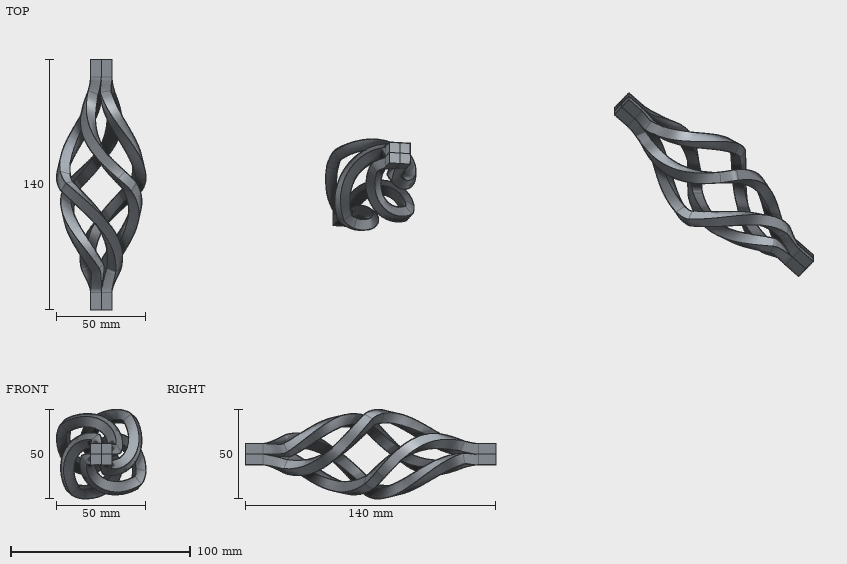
import cadquery as cq
import math

TOTAL_LENGTH = 140.0
STRAND_COUNT = 4
BAR_SIDE = 6.0
BLOCK_LENGTH = 10.0

APEX_RADIUS = 25.3
APEX_Y = -1.5
TAPER = 0.4
TWIST_RATE = 2.393
MIDDLE_ANGLE = 241.2

SECTION_ROLL = 50.0
SECTION_OFFSET = 2.7

FIRST_HELIX = (-47.3, -2.8)
SECOND_HELIX = (2.8, 50.4)
HELIX_SECTIONS = 16

BLEND_SECTIONS = 6
BLOCK_PULL = 1.0
HELIX_PULL = 0.5
BEND_PULL = 0.8

AXIS = cq.Vector(0, 1, 0)
SLOPE_STEP = 0.01
BLOCK_FACE = TOTAL_LENGTH / 2 - BLOCK_LENGTH


def evenly_spaced(start, end, count):
    return [start + (end - start) * i / (count - 1) for i in range(count)]


def outward(y):
    angle = math.radians(MIDDLE_ANGLE + TWIST_RATE * y)
    return cq.Vector(math.cos(angle), 0, math.sin(angle))


def helix_point(y, side):
    """Point of the helix; side is -1 on the widening cone and +1 on the narrowing one."""
    radius = APEX_RADIUS - side * TAPER * (y - APEX_Y)
    return outward(y) * radius + AXIS * y


def helix_section(y, side):
    """Corners of the square section, square to the helix at y."""
    tangent = (helix_point(y + SLOPE_STEP, side) - helix_point(y - SLOPE_STEP, side)).normalized()
    radial = outward(y)
    across = (radial - tangent * radial.dot(tangent)).normalized()
    sideways = tangent.cross(across)
    centre = helix_point(y, side) + sideways * SECTION_OFFSET
    corner_distance = BAR_SIDE / math.sqrt(2)
    corners = []
    for i in range(4):
        roll = math.radians(SECTION_ROLL + 90 * i)
        direction = across * math.cos(roll) + sideways * math.sin(roll)
        corners.append(centre + direction * corner_distance)
    return corners


def helix_slopes(y, side):
    """Movement of each corner per unit of y."""
    before = helix_section(y - SLOPE_STEP, side)
    after = helix_section(y + SLOPE_STEP, side)
    return [(b - a) / (2 * SLOPE_STEP) for a, b in zip(before, after)]


def block_section(y, x_side, z_side, following):
    """Corners of a bar end in one quadrant, each paired with the nearest corner of the next section."""
    outline = [(0, 0), (0, 1), (1, 1), (1, 0)]
    if x_side * z_side < 0:
        outline.reverse()
    corners = [cq.Vector(x_side * BAR_SIDE * i, y, z_side * BAR_SIDE * j) for i, j in outline]
    turns = [corners[k:] + corners[:k] for k in range(4)]
    return min(turns, key=lambda turn: sum((a - b).Length ** 2 for a, b in zip(turn, following)))


def blend(start, start_tangents, end, end_tangents):
    """Sections whose corners follow cubic curves with the given end tangents."""
    sections = []
    for s in evenly_spaced(0, 1, BLEND_SECTIONS):
        start_weight = 2 * s**3 - 3 * s**2 + 1
        start_pull = s**3 - 2 * s**2 + s
        end_pull = s**3 - s**2
        sections.append(
            [
                a * start_weight + ta * start_pull + b * (1 - start_weight) + tb * end_pull
                for a, ta, b, tb in zip(start, start_tangents, end, end_tangents)
            ]
        )
    return sections


def loft(sections):
    """Solid through the sections; a pair of sections is joined by flat faces."""
    wires = [cq.Wire.makePolygon(section, close=True) for section in sections]
    flat_sided = len(sections) == 2
    return cq.Solid.makeLoft(wires, flat_sided)


def scaled(vectors, factor):
    return [v * factor for v in vectors]


def make_strand():
    """One bar: block, blend, helix, bend, helix, blend, block."""
    first = [helix_section(y, -1) for y in evenly_spaced(*FIRST_HELIX, HELIX_SECTIONS)]
    second = [helix_section(y, 1) for y in evenly_spaced(*SECOND_HELIX, HELIX_SECTIONS)]
    first_end = block_section(-BLOCK_FACE, -1, 1, first[0])
    second_end = block_section(BLOCK_FACE, 1, -1, second[-1])

    first_gap = FIRST_HELIX[0] + BLOCK_FACE
    second_gap = BLOCK_FACE - SECOND_HELIX[1]
    bend_gap = SECOND_HELIX[0] - FIRST_HELIX[1]
    pieces = [
        [[c - AXIS * BLOCK_LENGTH for c in first_end], first_end],
        blend(
            first_end,
            [AXIS * (BLOCK_PULL * first_gap)] * 4,
            first[0],
            scaled(helix_slopes(FIRST_HELIX[0], -1), HELIX_PULL * first_gap),
        ),
        first,
        blend(
            first[-1],
            scaled(helix_slopes(FIRST_HELIX[1], -1), BEND_PULL * bend_gap),
            second[0],
            scaled(helix_slopes(SECOND_HELIX[0], 1), BEND_PULL * bend_gap),
        ),
        second,
        blend(
            second[-1],
            scaled(helix_slopes(SECOND_HELIX[1], 1), HELIX_PULL * second_gap),
            second_end,
            [AXIS * (BLOCK_PULL * second_gap)] * 4,
        ),
        [second_end, [c + AXIS * BLOCK_LENGTH for c in second_end]],
    ]
    solids = [loft(sections) for sections in pieces]
    return solids[0].fuse(*solids[1:]).Solids()[0]


strand = make_strand()
strands = [
    strand.rotate(cq.Vector(0, 0, 0), AXIS, 360 / STRAND_COUNT * i) for i in range(STRAND_COUNT)
]

result = cq.Compound.makeCompound(strands)